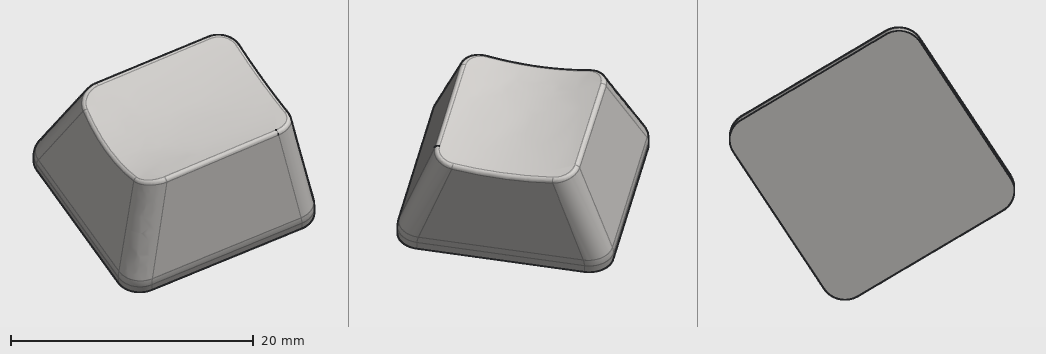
import cadquery as cq
import math

base_size = 18.16
base_corner_radius = 2.03
skirt_height = 0.73
shoulder_height = 1.3

side_lean = 0.37
front_lean = 0.39
back_lean = 0.08
blank_height = 10.17
blank_corner_radius = 1.95

dish_half_width = 6.0
back_rim_height = 9.39
back_valley_height = 8.88
front_rim_height = 9.23
front_valley_height = 7.95
cutter_half_width = 9.08
cutter_top = 14.53
rim_radius = 0.36


def inset_at(height, lean):
    """Inward offset of a wall: a tangent arc through the blend, then a straight lean."""
    lean_angle = math.atan(lean)
    blend_radius = (shoulder_height - skirt_height) / math.sin(lean_angle)
    if height > shoulder_height:
        return inset_at(shoulder_height, lean) + lean * (height - shoulder_height)
    return blend_radius - math.sqrt(blend_radius**2 - (height - skirt_height) ** 2)


def wall_section(height, corner_radius):
    """Rounded rectangle wire of the outer walls at the given height."""
    front = inset_at(height, front_lean)
    back = inset_at(height, back_lean)
    width = base_size - 2 * inset_at(height, side_lean)
    depth = base_size - front - back
    y_center = (front - back) / 2
    plate = cq.Workplane("XY", origin=(0, y_center, height)).rect(width, depth).extrude(0.18)
    return plate.edges("|Z").fillet(corner_radius).faces("<Z").wires().val()


def make_body():
    """Straight skirt, curved shoulder blend and leaning walls."""
    middle_height = (skirt_height + shoulder_height) / 2
    foot = wall_section(skirt_height, base_corner_radius)
    middle = wall_section(middle_height, base_corner_radius)
    shoulder = wall_section(shoulder_height, base_corner_radius)
    crown = wall_section(blank_height, blank_corner_radius)
    skirt = (
        cq.Workplane("XY")
        .rect(base_size, base_size)
        .extrude(skirt_height)
        .edges("|Z")
        .fillet(base_corner_radius)
    )
    blend = cq.Solid.makeLoft([foot, middle, shoulder])
    walls = cq.Solid.makeLoft([shoulder, crown], True)
    return skirt.union(cq.Workplane(blend)).union(cq.Workplane(walls))


def dish_section(y, rim_height, valley_height):
    """Cutter section at y, bounded below by the dish arc."""
    sag = rim_height - valley_height
    arc_radius = (dish_half_width**2 + sag**2) / (2 * sag)
    end_height = valley_height + arc_radius - math.sqrt(arc_radius**2 - cutter_half_width**2)
    outline = (
        cq.Workplane("XZ", origin=(0, y, 0))
        .moveTo(-cutter_half_width, end_height)
        .threePointArc((0, valley_height), (cutter_half_width, end_height))
        .lineTo(cutter_half_width, cutter_top)
        .lineTo(-cutter_half_width, cutter_top)
        .close()
    )
    return outline.val()


def make_dish_cutter():
    """Solid spanning the full depth of the keycap above the dish surface."""
    front = dish_section(-base_size / 2, front_rim_height, front_valley_height)
    back = dish_section(base_size / 2, back_rim_height, back_valley_height)
    return cq.Workplane(cq.Solid.makeLoft([front, back], True))


keycap = make_body().cut(make_dish_cutter())
dish_center = cq.NearestToPointSelector((0, 0, blank_height))
result = keycap.faces(dish_center).edges().fillet(rim_radius)